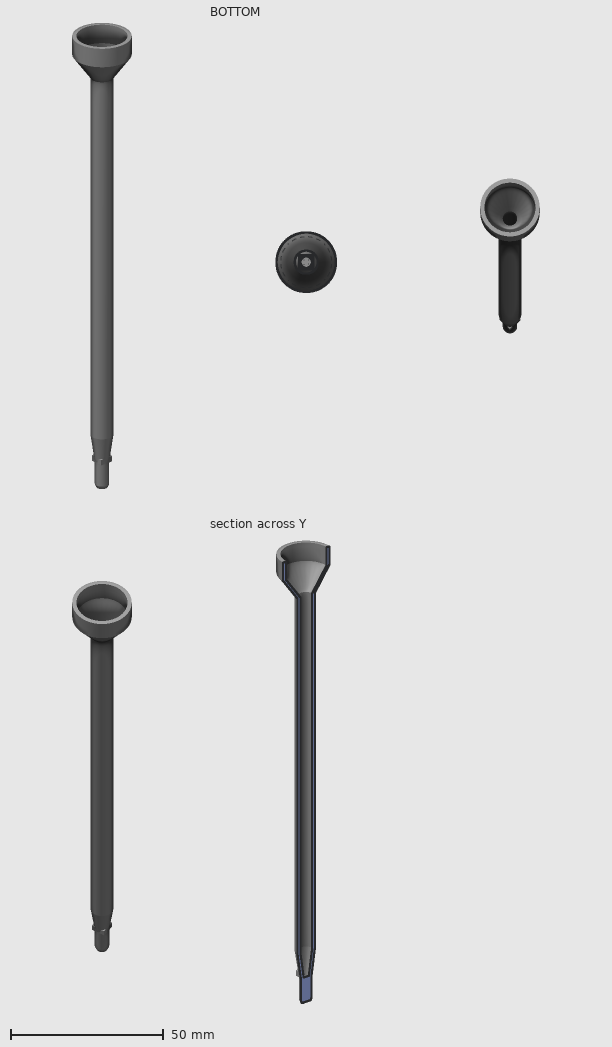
import cadquery as cq

total_height = 164.0
cup_base_z = 157.3
tube_top_z = 148.9
tube_base_z = 19.0
taper_base_z = 9.3
tip_chamfer_height = 1.1
collar_height = 2.0

cup_diameter = 19.5
tube_diameter = 7.5
wall = 1.4
pin_diameter = tube_diameter - 2 * wall
collar_width = pin_diameter
tip_chamfer_width = 0.5

cup_radius = cup_diameter / 2
tube_radius = tube_diameter / 2
pin_radius = pin_diameter / 2


def revolve_profile(points):
    """Revolve a closed (radius, height) outline about the Z axis."""
    return cq.Workplane("XZ").polyline(points).close().revolve(360, (0, 0, 0), (0, 1, 0))


upper_outline = [
    (pin_radius, taper_base_z),
    (tube_radius, tube_base_z),
    (tube_radius, tube_top_z),
    (cup_radius, cup_base_z),
    (cup_radius, total_height),
]

body = revolve_profile(
    [(0, 0), (pin_radius - tip_chamfer_width, 0), (pin_radius, tip_chamfer_height)]
    + upper_outline
    + [(0, total_height)]
)

collar = (
    cq.Workplane("XY", origin=(0, 0, taper_base_z))
    .rect(collar_width, collar_width)
    .extrude(collar_height)
)

cavity_outline = [(radius - wall, height) for radius, height in upper_outline]
cavity = revolve_profile([(0, taper_base_z)] + cavity_outline + [(0, total_height)])

result = body.union(collar).cut(cavity)